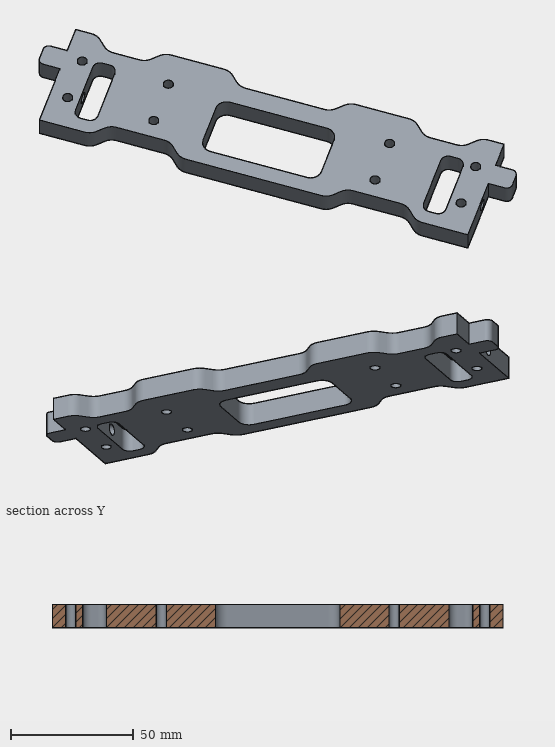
import cadquery as cq

overall_length = 203.2
body_length = 184.0
width = 47.5
thickness = 9.5

tab_width = 9.5
tab_center_y = 8.0
tab_corner_radius = 2.5

relief_depth = 6.3
relief_radius = 6.3
back_center_half = 25.8
back_outer_near = 53.6
back_outer_far = 82.7
front_near = 31.7
front_far = 70.0

window_length = 50.8
window_width = 25.8
window_center_y = -4.0
window_corner_radius = 4.7

slot_x = 74.8
slot_width = 9.5
slot_length = 28.9
slot_center_y = -3.3
slot_corner_radius = 3.3

hole_diameter = 4.0
hole_x_positions = (47.5, 84.5)
hole_y = 9.5
end_hole_diameter = 4.7
end_hole_y = -4.7


def rounded_block(length, block_width, radius, x, y):
    """Plate-thick block with rounded vertical edges, centred at (x, y)."""
    block = cq.Workplane("XY").box(length, block_width, thickness)
    return block.edges("|Z").fillet(radius).translate((x, y, 0))


def relieved_edge(side, spans):
    """Outline points, left to right, along one long edge (side is +1 or -1)."""
    edge_y = side * width / 2
    floor_y = edge_y - side * relief_depth
    points = []
    for start, end in spans:
        points += [
            (start, edge_y),
            (start + relief_depth, floor_y),
            (end - relief_depth, floor_y),
            (end, edge_y),
        ]
    return points


def make_body():
    """Plate with relieved long edges and every flank corner blended."""
    half_length = body_length / 2
    half_width = width / 2
    end_margin = (half_length - back_outer_far) / 2
    back = relieved_edge(1, [
        (-back_outer_far, -back_outer_near),
        (-back_center_half, back_center_half),
        (back_outer_near, back_outer_far),
    ])
    front = relieved_edge(-1, [(-front_far, -front_near), (front_near, front_far)])
    outline = [(-half_length, half_width)] + back + [(half_length, half_width)]
    outline += [(half_length, -half_width)] + front[::-1] + [(-half_length, -half_width)]
    body = cq.Workplane("XY").workplane(offset=-thickness / 2).polyline(outline).close().extrude(thickness)
    flank_edges = cq.selectors.BoxSelector(
        (-half_length + end_margin, -width, -thickness),
        (half_length - end_margin, width, thickness),
    )
    return body.edges("|Z").edges(flank_edges).fillet(relief_radius)


tabs = rounded_block(overall_length, tab_width, tab_corner_radius, 0, tab_center_y)
result = make_body().union(tabs)

result = result.cut(rounded_block(window_length, window_width, window_corner_radius, 0, window_center_y))
for side in (-1, 1):
    result = result.cut(
        rounded_block(slot_width, slot_length, slot_corner_radius, side * slot_x, slot_center_y)
    )

hole_points = [(side * x, y) for side in (-1, 1) for x in hole_x_positions for y in (-hole_y, hole_y)]
holes = (
    cq.Workplane("XY").workplane(offset=-thickness / 2)
    .pushPoints(hole_points).circle(hole_diameter / 2).extrude(thickness)
)
result = result.cut(holes)

end_hole_depth = body_length / 2 - slot_x
for start_x in (-body_length / 2, slot_x):
    end_hole = (
        cq.Workplane("YZ").workplane(offset=start_x)
        .center(end_hole_y, 0).circle(end_hole_diameter / 2).extrude(end_hole_depth)
    )
    result = result.cut(end_hole)